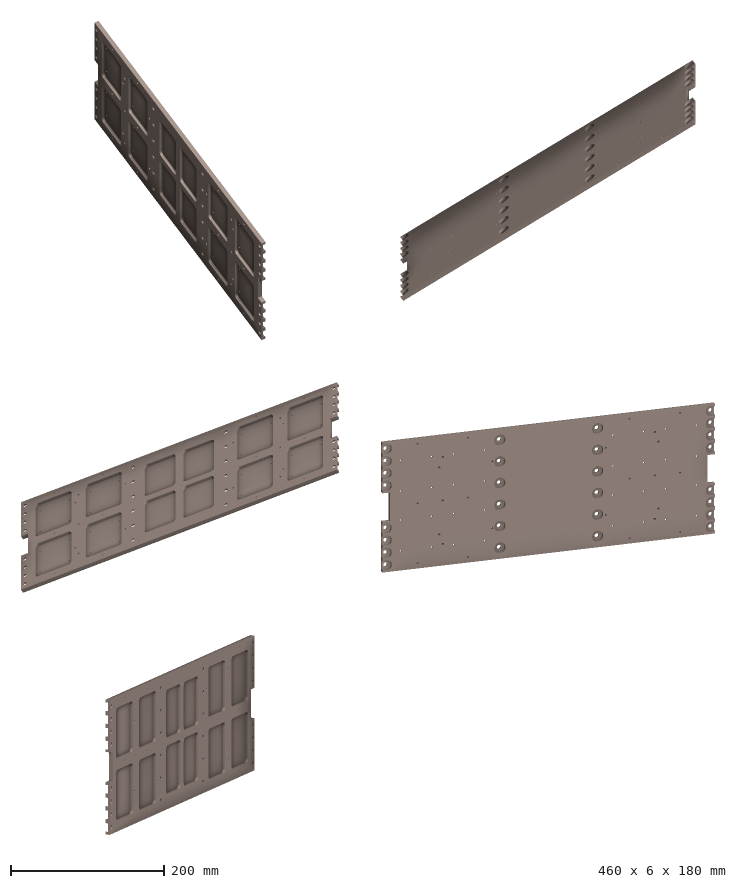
import cadquery as cq

length = 460.0
thickness = 6.0
height = 180.0
front_y = -thickness / 2
back_y = thickness / 2

notch_depth = 10.0
notch_height = 40.0

screw_hole_diameter = 5.5
counterbore_diameter = 15.0
counterbore_depth = 3.5

end_hole_inset = 5.0
end_hole_x = length / 2 - end_hole_inset
end_hole_first_z = 29.5
end_hole_pitch = 17.0
end_holes_per_group = 4

pocket_depth = 4.0
pocket_corner_radius = 5.0
group_x = 146.7
outer_pocket_pitch = 73.0
outer_pocket_width = 53.5
outer_pocket_height = 67.5
outer_pocket_z = 41.5
floor_hole_spacing = 43.0
floor_hole_diameter = 2.5

inner_pocket_width = 45.5
inner_pocket_height = 65.0
inner_pocket_x = 28.0
inner_pocket_z = 37.3

column_x = 67.5
column_pitch = 30.0
column_hole_count = 6

small_hole_diameter = 3.0
border_hole_spacing = 70.0
border_hole_z = 83.0
border_hole_diameter = 2.8
side_hole_offset = 31.7
side_hole_z = 46.5
group_hole_z = 60.3


def mirrored(points):
    """Repeat points of the +X, +Z quarter in all four quarters, without duplicates."""
    return sorted({(sx * x, sz * z) for x, z in points for sx in (-1, 1) for sz in (-1, 1)})


def from_front(points):
    """Put points given as (X, Z) on the front face; extrusions of them run towards +Y."""
    plane = cq.Plane(origin=(0, front_y, 0), xDir=(1, 0, 0), normal=(0, -1, 0))
    return cq.Workplane(plane).pushPoints(points)


def through_holes(points, diameter):
    return from_front(points).circle(diameter / 2).extrude(-thickness)


def pockets(points, width, tall):
    blocks = from_front(points).rect(width, tall).extrude(-pocket_depth)
    return blocks.edges("|Y").fillet(pocket_corner_radius)


def screw_holes(points):
    """Through holes with a counterbore on the back face."""
    plane = cq.Plane(origin=(0, back_y, 0), xDir=(1, 0, 0), normal=(0, -1, 0))
    heads = cq.Workplane(plane).pushPoints(points)
    heads = heads.circle(counterbore_diameter / 2).extrude(counterbore_depth)
    return through_holes(points, screw_hole_diameter).union(heads)


plate = cq.Workplane("XY").box(length, thickness, height)
for end_x in (-length / 2, length / 2):
    notch = cq.Workplane("XY").box(2 * notch_depth, thickness, notch_height)
    plate = plate.cut(notch.translate((end_x, 0, 0)))

end_points = mirrored(
    [(end_hole_x, end_hole_first_z + i * end_hole_pitch) for i in range(end_holes_per_group)]
)
plate = plate.cut(screw_holes(end_points))

outer_pocket_xs = [group_x + side * outer_pocket_pitch / 2 for side in (-1, 1)]
outer_points = mirrored([(x, outer_pocket_z) for x in outer_pocket_xs])
plate = plate.cut(pockets(outer_points, outer_pocket_width, outer_pocket_height))
inner_points = mirrored([(inner_pocket_x, inner_pocket_z)])
plate = plate.cut(pockets(inner_points, inner_pocket_width, inner_pocket_height))

floor_offset = floor_hole_spacing / 2
floor_points = [
    (x + dx, z + dz)
    for x, z in outer_points
    for dx in (-floor_offset, floor_offset)
    for dz in (-floor_offset, floor_offset)
]
plate = plate.cut(through_holes(floor_points, floor_hole_diameter))

column_points = mirrored(
    [(column_x, (i + 0.5) * column_pitch) for i in range(column_hole_count // 2)]
)
plate = plate.cut(screw_holes(column_points))

border_xs = [group_x + side * border_hole_spacing / 2 for side in (-1, 1)]
border_points = mirrored([(x, z) for x in border_xs for z in (0, border_hole_z)])
plate = plate.cut(through_holes(border_points, border_hole_diameter))

side_points = mirrored([(x - side_hole_offset, side_hole_z) for x in outer_pocket_xs])
group_points = mirrored([(group_x, z) for z in (0, group_hole_z)])
plate = plate.cut(through_holes(side_points + group_points, small_hole_diameter))

result = plate